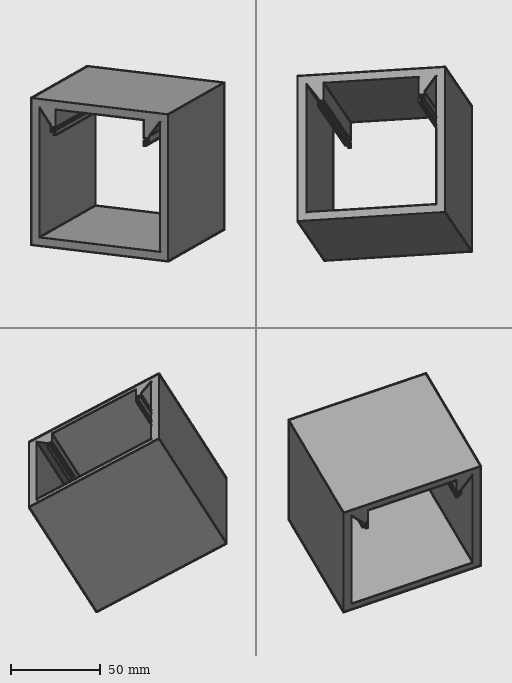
import cadquery as cq

width = 84.0
length = 75.0
height = 85.0
wall = 5.0

rail_inset = 15.0
rail_width = 3.2
slot_depth = 2.4
lip_width = 1.2

taper_end = 14.0
slot_top = 15.4
slot_height = 1.6
shelf_thickness = 1.2
lip_height = 1.6

top = height / 2
slot_bottom = slot_top + slot_height
shelf_bottom = slot_bottom + shelf_thickness
lip_bottom = shelf_bottom + lip_height


def make_tube():
    outer = cq.Workplane("XY").box(width, length, height)
    cavity = cq.Workplane("XY").box(width - 2 * wall, length, height - 2 * wall)
    return outer.cut(cavity)


def make_left_rail():
    """Tapered rail with an inward-facing slot and a lip, running the full length."""
    inner_x = -width / 2 + rail_inset
    outer_x = inner_x - rail_width
    corner_x = -width / 2 + wall
    slot_x = inner_x - slot_depth
    lip_x = inner_x - lip_width
    buried_z = top - wall / 2
    profile = [
        (corner_x, buried_z),
        (corner_x, top - wall),
        (outer_x, top - taper_end),
        (outer_x, top - shelf_bottom),
        (lip_x, top - shelf_bottom),
        (lip_x, top - lip_bottom),
        (inner_x, top - lip_bottom),
        (inner_x, top - slot_bottom),
        (slot_x, top - slot_bottom),
        (slot_x, top - slot_top),
        (inner_x, top - slot_top),
        (inner_x, buried_z),
    ]
    return cq.Workplane("XZ").polyline(profile).close().extrude(length / 2, both=True)


left_rail = make_left_rail()
right_rail = left_rail.mirror("YZ")
result = make_tube().union(left_rail).union(right_rail)